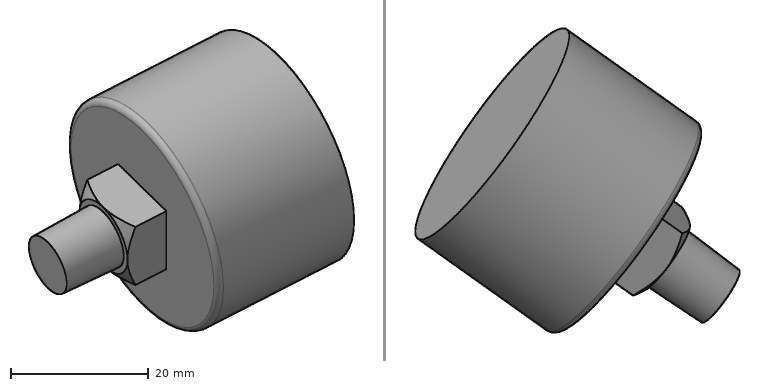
import cadquery as cq
import math

total_length = 41.6
case_diameter = 37.5
case_edge_radius = 1.0

square_width = 12.0
square_length = 7.0
chamfer_angle = 30.0

stem_length = 10.03
stem_root_diameter = 10.05
stem_taper = 1 / 16
stem_tip_diameter = stem_root_diameter - stem_length * stem_taper

case_length = total_length - square_length - stem_length
square_end = case_length + square_length


def axial_plane(distance):
    """XZ plane facing -Y, at a distance in front of the rear face."""
    return cq.Workplane("XZ", origin=(0, -distance, 0))


def make_case():
    case = axial_plane(0).circle(case_diameter / 2).extrude(case_length)
    return case.faces("<Y").edges().fillet(case_edge_radius)


def make_square():
    block = axial_plane(case_length).rect(square_width, square_width).extrude(square_length)
    end_radius = square_width / 2
    slope = math.tan(math.radians(chamfer_angle))
    base_radius = end_radius + square_length / slope
    cone = (
        axial_plane(case_length)
        .circle(base_radius)
        .workplane(offset=square_length)
        .circle(end_radius)
        .loft(ruled=True)
    )
    return block.intersect(cone)


def make_stem():
    return (
        axial_plane(square_end)
        .circle(stem_root_diameter / 2)
        .workplane(offset=stem_length)
        .circle(stem_tip_diameter / 2)
        .loft(ruled=True)
    )


result = make_case().union(make_square()).union(make_stem())